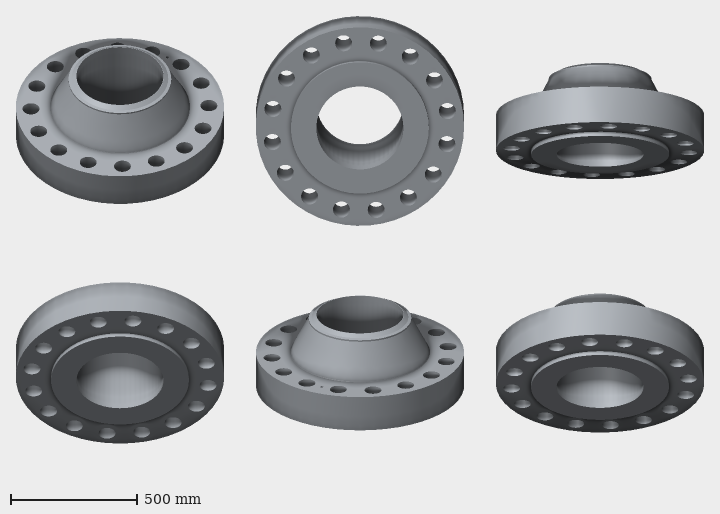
import cadquery as cq
import math

flange_diameter = 825.0
flange_thickness = 146.0
face_diameter = 546.0
face_height = 17.0
overall_height = 328.5
bore_diameter = 345.0

hub_base_diameter = 555.0
hub_taper_diameter = 551.0
hub_toe_height = 2.5
neck_diameter = 407.0
neck_length = 7.0
shoulder_diameter = 383.0
shoulder_rise = 3.0
bevel_height = 12.0
weld_end_diameter = 348.0

bolt_count = 16
bolt_circle_diameter = 705.0
bolt_hole_diameter = 67.0
small_hole_diameter = 12.0
small_hole_depth = 25.0

flange_top = face_height + flange_thickness
hub_taper_start = flange_top + hub_toe_height
bevel_start = overall_height - bevel_height
neck_top = bevel_start - shoulder_rise
neck_start = neck_top - neck_length

bolt_pitch_angle = 360.0 / bolt_count


def on_bolt_circle(angle_degrees):
    """Point on the bolt circle, with the angle counted from +X."""
    angle = math.radians(angle_degrees)
    radius = bolt_circle_diameter / 2
    return (radius * math.cos(angle), radius * math.sin(angle))


def flange_body():
    """Half section revolved about Z: raised face, flange, hub with a flared toe, and weld end."""
    section = [
        (bore_diameter / 2, 0),
        (face_diameter / 2, 0),
        (face_diameter / 2, face_height),
        (flange_diameter / 2, face_height),
        (flange_diameter / 2, flange_top),
        (hub_base_diameter / 2, flange_top),
        (hub_taper_diameter / 2, hub_taper_start),
        (neck_diameter / 2, neck_start),
        (neck_diameter / 2, neck_top),
        (shoulder_diameter / 2, bevel_start),
        (weld_end_diameter / 2, overall_height),
        (bore_diameter / 2, overall_height),
    ]
    return cq.Workplane("XZ").polyline(section).close().revolve(360, (0, 0), (0, 1))


def bolt_holes():
    """Cutters for the bolt holes, one of them on the X axis."""
    centers = [on_bolt_circle(i * bolt_pitch_angle) for i in range(bolt_count)]
    return cq.Workplane("XY").pushPoints(centers).circle(bolt_hole_diameter / 2).extrude(flange_top)


def small_hole():
    """Cutter for the blind hole midway between the +Y bolt hole and its neighbour toward -X."""
    center = on_bolt_circle(90 + bolt_pitch_angle / 2)
    return (
        cq.Workplane("XY", origin=(0, 0, flange_top))
        .pushPoints([center])
        .circle(small_hole_diameter / 2)
        .extrude(-small_hole_depth)
    )


result = flange_body().cut(bolt_holes()).cut(small_hole())